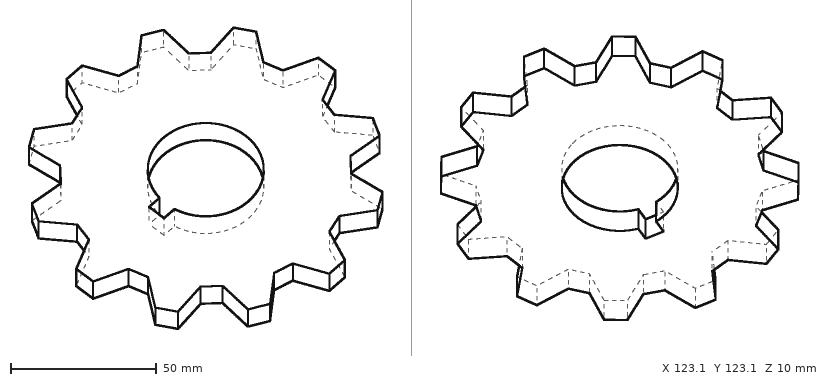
import cadquery as cq
import math

tooth_count = 12
thickness = 10.0
tip_height = 61.55
tip_width = 8.0
root_radius = 50.2
tooth_foot_width = 18.6
bore_diameter = 40.0
keyway_width = 7.0
keyway_depth = 5.0

foot_height = math.sqrt(root_radius**2 - (tooth_foot_width / 2)**2)


def tooth_corners(angle):
    """Corners of one straight-flanked tooth whose centre line lies at the given angle."""
    corners = [
        (foot_height, -tooth_foot_width / 2),
        (tip_height, -tip_width / 2),
        (tip_height, tip_width / 2),
        (foot_height, tooth_foot_width / 2),
    ]
    c = math.cos(angle)
    s = math.sin(angle)
    return [(radial * c - across * s, radial * s + across * c) for radial, across in corners]


def toothed_plate():
    """Plate with a tooth on each axis and straight root flats between the teeth."""
    outline = []
    for i in range(tooth_count):
        outline += tooth_corners(2 * math.pi * i / tooth_count)
    return cq.Workplane("XY").polyline(outline).close().extrude(thickness)


def keyed_bore():
    """Through bore with a rectangular keyway on the -Y side."""
    bore_radius = bore_diameter / 2
    bore = cq.Workplane("XY").circle(bore_radius).extrude(thickness)
    keyway_reach = bore_radius + keyway_depth
    keyway = (
        cq.Workplane("XY")
        .center(0, -keyway_reach / 2)
        .rect(keyway_width, keyway_reach)
        .extrude(thickness)
    )
    return bore.union(keyway)


result = toothed_plate().cut(keyed_bore())